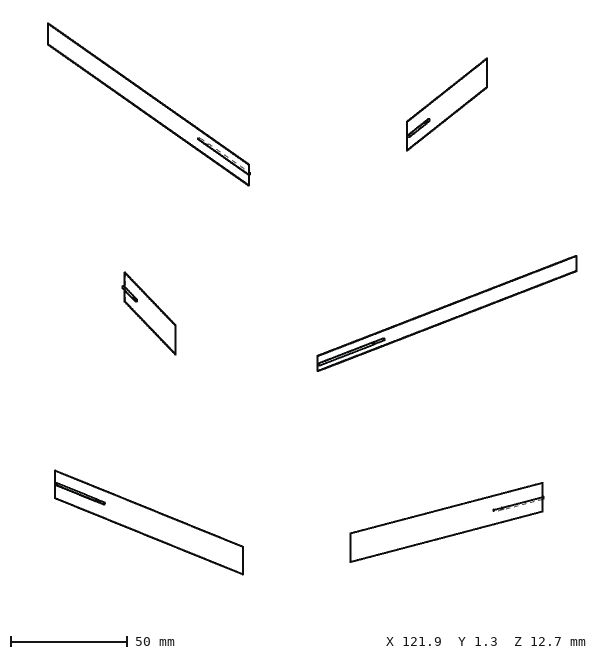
import cadquery as cq

strip_length = 121.9
strip_height = 12.7
strip_thickness = 0.25

total_depth = 1.3
rod_start = 90.7
step_position = 96.0
rod_end = 121.5
sink_depth = 0.001
rod_diameter = total_depth - strip_thickness + sink_depth
tip_diameter = 1.0
rod_height = strip_height / 2


def round_section(start, end, diameter):
    """Cylinder along X, resting in the strip's back face."""
    axis_y = strip_thickness - sink_depth + diameter / 2
    section_plane = cq.Plane(origin=(start, axis_y, rod_height), xDir=(0, 0, 1), normal=(1, 0, 0))
    return cq.Workplane(section_plane).circle(diameter / 2).extrude(end - start)


strip = cq.Workplane("XY").box(strip_length, strip_thickness, strip_height, centered=False)
tip = round_section(rod_start, step_position, tip_diameter)
rod = round_section(step_position, rod_end, rod_diameter)

result = strip.union(rod).union(tip)